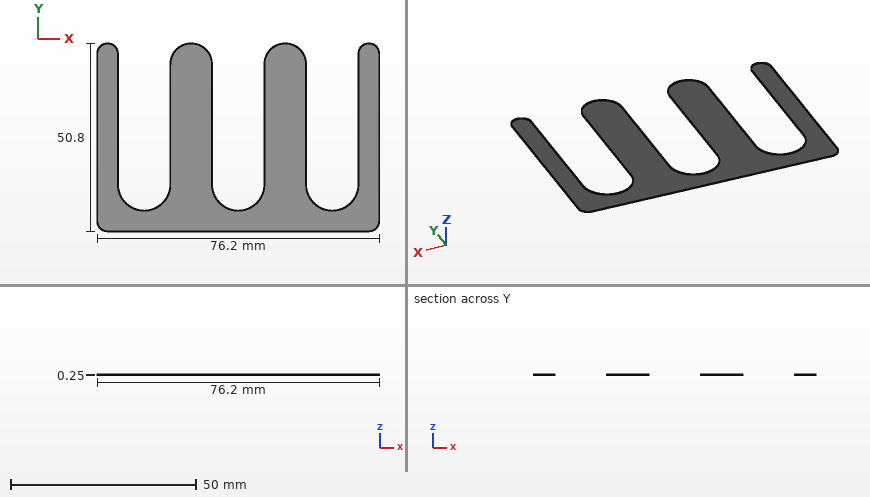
import cadquery as cq

length = 76.2
depth = 50.8
thickness = 0.25

slot_count = 3
slot_width = 14.1
rail_width = (length - slot_count * slot_width) / (2 * slot_count)
finger_width = 2 * rail_width
pitch = slot_width + finger_width

slot_radius = slot_width / 2
corner_radius = rail_width / 2
slot_arc_y = rail_width + slot_radius


def add_finger_tip(outline, left, width):
    """Round over a finger tip, from its left side to its right side."""
    radius = width / 2
    outline = outline.lineTo(left, depth - radius)
    return outline.threePointArc((left + radius, depth), (left + width, depth - radius))


def add_slot(outline, left):
    """Run down a slot's left side and around its round bottom."""
    outline = outline.lineTo(left, slot_arc_y)
    return outline.threePointArc((left + slot_radius, rail_width), (left + slot_width, slot_arc_y))


outline = add_finger_tip(cq.Workplane("XY").moveTo(0, 0), 0, rail_width)
for index in range(slot_count):
    slot_left = rail_width + index * pitch
    outline = add_slot(outline, slot_left)
    is_last = index == slot_count - 1
    outline = add_finger_tip(outline, slot_left + slot_width, rail_width if is_last else finger_width)
plate = outline.lineTo(length, 0).close().extrude(thickness)

front_corners = plate.faces("<Y").edges("|Z")
result = front_corners.fillet(corner_radius)